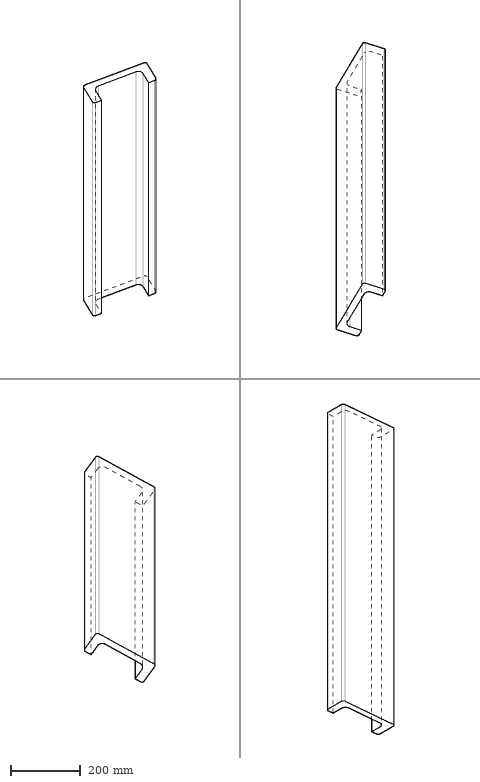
import cadquery as cq

length = 1000.0
width = 71.0
height = 201.0
web_thickness = 20.0
flange_thickness = 26.0
outer_radius = 7.0
inner_radius = 15.0

bar = cq.Workplane("XY").box(width, height, length).edges("|Z").fillet(outer_radius)

channel_depth = width - web_thickness
channel_height = height - 2 * flange_thickness
channel = (
    cq.Workplane("XY")
    .box(channel_depth, channel_height, length)
    .edges("|Z and <X")
    .fillet(inner_radius)
    .translate((web_thickness / 2, 0, 0))
)

result = bar.cut(channel)